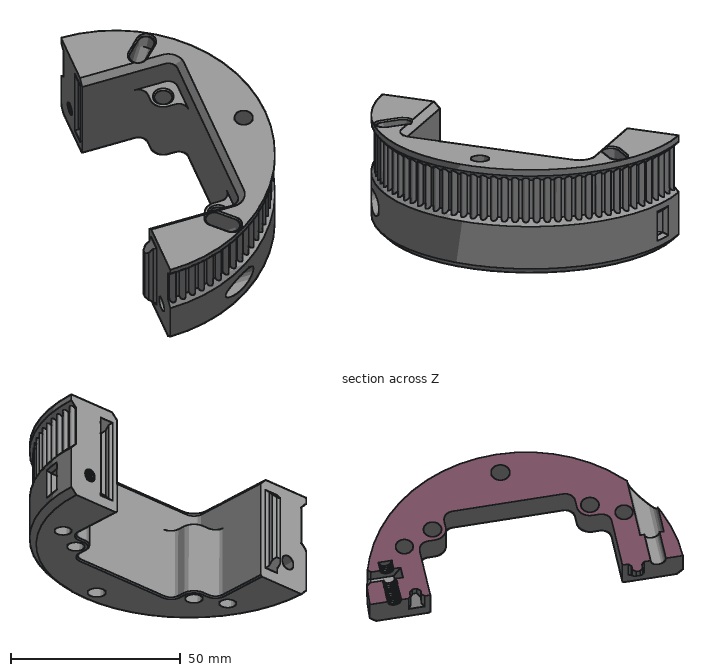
import cadquery as cq
import math

TILT = 10.0
OVERALL_X = 93.25
HEIGHT = 33.0
FACE_GAP = 0.1
TILT_ANGLE = math.radians(TILT)
RADIUS = (OVERALL_X + FACE_GAP * math.sin(TILT_ANGLE)) / (1 + math.cos(TILT_ANGLE))
BEVEL = 2.0
SMALL_BEVEL = 0.5

BAND_BOTTOM = 15.2
BAND_TOP = HEIGHT - BEVEL
RIB_COUNT = 45
RIB_RADIUS = 1.0

POCKET_HALF_WIDTH = 28.7
POCKET_DEPTH = 28.9
POCKET_CORNER_RADIUS = 3.0

BOSS_HEIGHT = 22.75
BOSS_X = 23.6
BOSS_Y = 23.6
BOSS_RADIUS = 4.0
BOSS_FILLET = 3.0
BOSS_HOLE_DIAMETER = 5.2

CROWN_HOLE_Y = 40.2
CROWN_HOLE_DIAMETER = 5.4

CORD_X = 32.9
CORD_Y = 19.0
CORD_DIAMETER = 5.0
CORD_RUN = 5.8
CORD_PLAN_ANGLE = 45.0
CORD_BEND_RUN = 4.5
CORD_BEND_DEPTH = 2.2
CORD_RAMPS = (45.0, 65.0)

SNAP_X = CORD_X
SNAP_BEAD_DIAMETER = 3.45
SNAP_BEAD_REACH = 1.4
SNAP_BOTTOM = 3.45
SNAP_TOP = 29.6

SCREW_X = 39.5
SCREW_Z = 8.6
SCREW_SEAT_Y = 10.0
CLEARANCE_DIAMETER = 4.5
HEAD_DIAMETER = 7.0
THREAD_MAJOR = 4.1
THREAD_MINOR = 3.4
THREAD_PITCH = 0.7
THREAD_TURNS = 21
NUT_FLATS = 7.0
NUT_Y = 9.9
NUT_SLOT_THICKNESS = 3.5
NUT_SLOT_BEVEL = 1.1


def cylinder_z(x, y, diameter, bottom, top):
    return cq.Workplane("XY", origin=(x, y, bottom)).circle(diameter / 2).extrude(top - bottom)


def cylinder_y(x, z, diameter, start, end):
    return cq.Workplane("XZ", origin=(x, start, z)).circle(diameter / 2).extrude(start - end)


def ring_body():
    """Solid half disc with a V-sided band and a bevelled lower edge."""
    floor_radius = RADIUS - BEVEL
    profile = [
        (0, 0),
        (floor_radius, 0),
        (RADIUS, BEVEL),
        (RADIUS, BAND_BOTTOM),
        (floor_radius, BAND_BOTTOM + BEVEL),
        (floor_radius, BAND_TOP - BEVEL),
        (RADIUS, BAND_TOP),
        (RADIUS, HEIGHT),
        (0, HEIGHT),
    ]
    return cq.Workplane("XZ").polyline(profile).close().revolve(-180, (0, 0, 0), (0, 1, 0))


def knurl_ribs():
    """Upright round ribs standing half out of the band floor."""
    pitch = 180 / RIB_COUNT
    ribs = cq.Workplane("XY", origin=(0, 0, BAND_BOTTOM)).polarArray(
        RADIUS - BEVEL, pitch / 2, 180 - pitch, RIB_COUNT
    )
    return ribs.circle(RIB_RADIUS).extrude(BAND_TOP - BAND_BOTTOM)


def pocket():
    """Round-cornered pocket open at the end faces, widening through a bevel at the top."""
    overrun = 2 * (POCKET_CORNER_RADIUS + BEVEL)

    def outline(margin, bottom):
        return (
            cq.Workplane("XY", origin=(0, (POCKET_DEPTH - overrun) / 2, bottom))
            .sketch()
            .rect(2 * (POCKET_HALF_WIDTH + margin), POCKET_DEPTH + overrun + 2 * margin)
            .vertices()
            .fillet(POCKET_CORNER_RADIUS + margin)
            .finalize()
        )

    straight = outline(0, 0).extrude(HEIGHT)
    bevel = outline(BEVEL, HEIGHT).extrude(-BEVEL, taper=45)
    return straight.union(bevel)


def corner_boss(side):
    """Boss filling a pocket corner, with concave fillets onto both walls."""
    wall_x = POCKET_HALF_WIDTH
    face_x = BOSS_X - BOSS_RADIUS
    face_y = BOSS_Y - BOSS_RADIUS
    behind = POCKET_CORNER_RADIUS
    diagonal = math.sqrt(0.5)
    fillet_sag = BOSS_FILLET * (1 - diagonal)
    outline = (
        cq.Workplane("XY")
        .moveTo(wall_x + behind, POCKET_DEPTH + behind)
        .lineTo(face_x - BOSS_FILLET, POCKET_DEPTH + behind)
        .lineTo(face_x - BOSS_FILLET, POCKET_DEPTH)
        .threePointArc((face_x - fillet_sag, POCKET_DEPTH - fillet_sag), (face_x, POCKET_DEPTH - BOSS_FILLET))
        .lineTo(face_x, BOSS_Y)
        .threePointArc((BOSS_X - BOSS_RADIUS * diagonal, BOSS_Y - BOSS_RADIUS * diagonal), (BOSS_X, face_y))
        .lineTo(wall_x - BOSS_FILLET, face_y)
        .threePointArc((wall_x - fillet_sag, face_y - fillet_sag), (wall_x, face_y - BOSS_FILLET))
        .lineTo(wall_x + behind, face_y - BOSS_FILLET)
        .close()
    )
    boss = outline.extrude(BOSS_HEIGHT)
    return boss if side > 0 else boss.mirror("YZ")


def boss_hole(side):
    """Through hole in a boss with a bevelled upper rim."""
    hole = cylinder_z(side * BOSS_X, BOSS_Y, BOSS_HOLE_DIAMETER, 0, BOSS_HEIGHT)
    rim = (
        cq.Workplane("XY", origin=(side * BOSS_X, BOSS_Y, BOSS_HEIGHT))
        .circle(BOSS_HOLE_DIAMETER / 2 + SMALL_BEVEL)
        .extrude(-SMALL_BEVEL, taper=45)
    )
    return hole.union(rim)


def cord_passage(side):
    """Vertical cord hole with a round-bottomed trough climbing away from it."""
    hole = cylinder_z(0, 0, CORD_DIAMETER, 0, HEIGHT)
    slot_sketch = cq.Workplane("XY", origin=(CORD_RUN / 2, 0, HEIGHT))
    passage = slot_sketch.slot2D(CORD_RUN + CORD_DIAMETER, CORD_DIAMETER).extrude(-HEIGHT)

    for ramp in CORD_RAMPS:
        slope = math.radians(ramp)
        trough = cq.Workplane(cq.Plane(
            origin=(CORD_BEND_RUN, 0, HEIGHT - CORD_BEND_DEPTH),
            xDir=(0, 1, 0),
            normal=(math.cos(slope), 0, math.sin(slope)),
        ))
        floor = trough.circle(CORD_DIAMETER / 2).extrude(2 * HEIGHT, both=True)
        above = trough.center(0, HEIGHT).rect(CORD_DIAMETER, 2 * HEIGHT).extrude(2 * HEIGHT, both=True)
        passage = passage.intersect(floor.union(above))

    rim_width = CORD_DIAMETER + 2 * SMALL_BEVEL
    rim = slot_sketch.slot2D(CORD_RUN + rim_width, rim_width).extrude(-SMALL_BEVEL, taper=45)

    passage = passage.union(hole).union(rim)
    passage = passage.rotate((0, 0, 0), (0, 0, 1), CORD_PLAN_ANGLE).translate((CORD_X, CORD_Y, 0))
    return passage if side > 0 else passage.mirror("YZ")


def snap_bar(side):
    """Snap tongue pointing along -Y: 45 degree root, octagonal bead and ends sloped to match."""
    half_sector = math.pi / 8
    half_flats = SNAP_BEAD_DIAMETER / 2 * math.cos(half_sector)
    half_facet = SNAP_BEAD_DIAMETER / 2 * math.sin(half_sector)
    tip = SNAP_BEAD_REACH + half_flats
    root_half_width = half_flats + FACE_GAP + SNAP_BEAD_REACH - half_facet
    right_side = [
        (root_half_width, FACE_GAP),
        (half_flats, half_facet - SNAP_BEAD_REACH),
        (half_flats, -half_facet - SNAP_BEAD_REACH),
        (half_facet, -tip),
    ]
    left_side = [(-x, y) for x, y in reversed(right_side)]
    bar = (
        cq.Workplane("XY", origin=(0, 0, SNAP_BOTTOM))
        .polyline(right_side + left_side)
        .close()
        .extrude(SNAP_TOP - SNAP_BOTTOM)
    )
    sloped_ends = (
        cq.Workplane("YZ")
        .polyline([
            (FACE_GAP, SNAP_BOTTOM - FACE_GAP),
            (FACE_GAP, SNAP_TOP + FACE_GAP),
            (-tip, SNAP_TOP - tip),
            (-tip, SNAP_BOTTOM + tip),
        ])
        .close()
        .extrude(root_half_width, both=True)
    )
    return bar.intersect(sloped_ends).translate((side * SNAP_X, 0, 0))


def screw_passage():
    """Clearance hole from the right end face and a head counterbore out through the rim."""
    clearance = cylinder_y(SCREW_X, SCREW_Z, CLEARANCE_DIAMETER, 0, SCREW_SEAT_Y)
    head = cylinder_y(SCREW_X, SCREW_Z, HEAD_DIAMETER, SCREW_SEAT_Y, RADIUS)
    return clearance.union(head)


def threaded_hole():
    """Blind hole in the left end face with V-shaped thread rings."""
    minor = THREAD_MINOR / 2
    major = THREAD_MAJOR / 2
    outline = [(0, 0)]
    for turn in range(THREAD_TURNS):
        start = turn * THREAD_PITCH
        outline.append((major, start))
        outline.append((minor, start + THREAD_PITCH / 2))
    depth = THREAD_TURNS * THREAD_PITCH
    outline += [(major, depth), (0, depth)]
    hole = cq.Workplane("XY").polyline(outline).close().revolve(360, (0, 0, 0), (0, 1, 0))
    return hole.translate((-SCREW_X, 0, SCREW_Z))


def nut_slot():
    """Hexagonal nut pocket that runs out through the left side."""
    half_flats = NUT_FLATS / 2
    half_thickness = NUT_SLOT_THICKNESS / 2
    corner_radius = NUT_FLATS / math.sqrt(3)
    return (
        cq.Workplane("XZ", origin=(-SCREW_X, NUT_Y, SCREW_Z))
        .polyline([
            (corner_radius, 0),
            (corner_radius / 2, half_flats),
            (SCREW_X - RADIUS, half_flats),
            (SCREW_X - RADIUS, -half_flats),
            (corner_radius / 2, -half_flats),
        ])
        .close()
        .extrude(half_thickness, both=True)
    )


end_face_trim = cq.Workplane("XY").rect(2 * RADIUS, 2 * FACE_GAP).extrude(HEIGHT)
body = ring_body().union(knurl_ribs()).cut(pocket()).cut(end_face_trim)
for side in (-1, 1):
    body = body.union(corner_boss(side))

inner_edges = cq.selectors.BoxSelector(
    (-POCKET_HALF_WIDTH - SMALL_BEVEL, 0, -SMALL_BEVEL),
    (POCKET_HALF_WIDTH + SMALL_BEVEL, POCKET_DEPTH + SMALL_BEVEL, SMALL_BEVEL),
    boundingbox=True,
)
body = body.edges(inner_edges).chamfer(SMALL_BEVEL)

body = body.cut(cylinder_z(0, CROWN_HOLE_Y, CROWN_HOLE_DIAMETER, 0, HEIGHT))
for side in (-1, 1):
    body = body.cut(boss_hole(side)).cut(cord_passage(side))

body = body.cut(snap_bar(-1).mirror("XZ").translate((0, 2 * FACE_GAP, 0)))
body = body.union(snap_bar(1))
body = body.cut(screw_passage())
body = body.cut(nut_slot())
nut_slot_mouth = cq.selectors.BoxSelector(
    (-RADIUS, NUT_Y - NUT_SLOT_THICKNESS, SCREW_Z - NUT_FLATS),
    (-RADIUS + BEVEL, NUT_Y + NUT_SLOT_THICKNESS, SCREW_Z + NUT_FLATS),
)
body = body.edges(nut_slot_mouth).chamfer(NUT_SLOT_BEVEL)
body = body.cut(threaded_hole())

result = body.rotate((0, 0, 0), (0, 0, 1), -TILT)